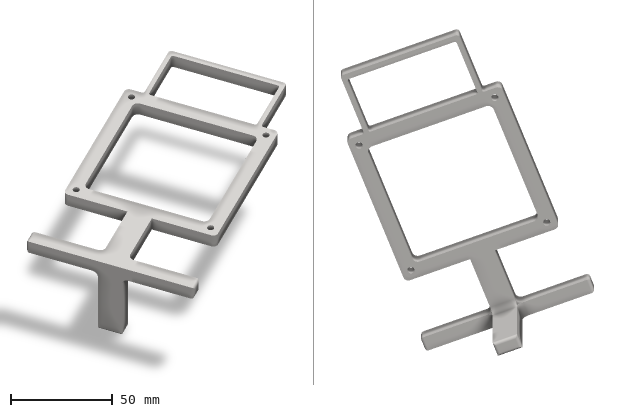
import cadquery as cq

length = 152.4
bar_width = 88.8
leg_height = 45.7
thickness = 7.5

frame_size = 81.1
frame_start = 38.3
opening_size = 65.8
frame_radius = 2.5
opening_radius = 3.0
screw_spacing = 71.3
screw_diameter = 3.5

loop_width = 62.2
loop_side_wall = 2.5
loop_end_wall = 3.0
loop_outer_radius = 1.5
loop_inner_radius = 1.0

stem_width = 13.0
joint_radius = 3.0
end_radius = 1.5

pick_margin = 0.08

frame_center_y = frame_start + frame_size / 2
frame_end = frame_start + frame_size
frame_border = (frame_size - opening_size) / 2
loop_length = length - frame_end
loop_opening_width = loop_width - 2 * loop_side_wall
loop_opening_length = loop_length - loop_end_wall


def block(width, depth, height, start_y):
    """Block centred on X, starting at start_y and hanging below the top face."""
    corner = (-width / 2, start_y, -height)
    return cq.Workplane("XY").box(width, depth, height, centered=False).translate(corner)


def frame_cutter():
    """Rounded square opening and the four corner screw holes."""
    opening = block(opening_size, opening_size, thickness, frame_start + frame_border)
    holes = (
        cq.Workplane("XY", origin=(0, frame_center_y, -thickness))
        .rect(screw_spacing, screw_spacing, forConstruction=True)
        .vertices()
        .circle(screw_diameter / 2)
        .extrude(thickness)
    )
    return opening.edges("|Z").fillet(opening_radius).union(holes)


def loop_body():
    """Loop with a rounded opening that reaches the frame."""
    outer = block(loop_width, loop_length, thickness, frame_end)
    outer = outer.edges("|Z and >Y").fillet(loop_outer_radius)
    opening = block(loop_opening_width, loop_opening_length, thickness, frame_end)
    return outer.cut(opening.edges("|Z").fillet(loop_inner_radius))


def round_joint(body, direction, x, y, z, radius=joint_radius):
    """Fillet the edges along one axis whose midpoints lie at +x and -x."""
    selectors = []
    for side_x in (-x, x):
        low = (side_x - pick_margin, y - pick_margin, z - pick_margin)
        high = (side_x + pick_margin, y + pick_margin, z + pick_margin)
        selectors.append(cq.selectors.BoxSelector(low, high))
    return body.edges("|" + direction).edges(selectors[0] + selectors[1]).fillet(radius)


def support():
    """Stem, crossbar and leg with rounded ends and rounded inner joints."""
    crossbar = block(bar_width, thickness, thickness, 0)
    crossbar = crossbar.faces("<X or >X").edges().fillet(end_radius)
    leg = block(stem_width, thickness, leg_height, 0)
    leg = leg.faces("<Z").edges().fillet(end_radius)
    stem = block(stem_width, frame_start, thickness, 0)
    side = stem_width / 2
    middle = thickness / 2
    flat_tee = round_joint(crossbar.union(stem), "Z", side, thickness, -middle)
    upright_tee = round_joint(crossbar.union(leg), "Y", side, middle, -thickness)
    elbow = round_joint(stem.union(leg), "X", 0, thickness, -thickness)
    return flat_tee.union(upright_tee).union(elbow)



frame = block(frame_size, frame_size, thickness, frame_start).edges("|Z").fillet(frame_radius)
result = frame.cut(frame_cutter()).union(loop_body()).union(support())
result = round_joint(result, "Z", loop_width / 2, frame_end, -thickness / 2, loop_inner_radius)